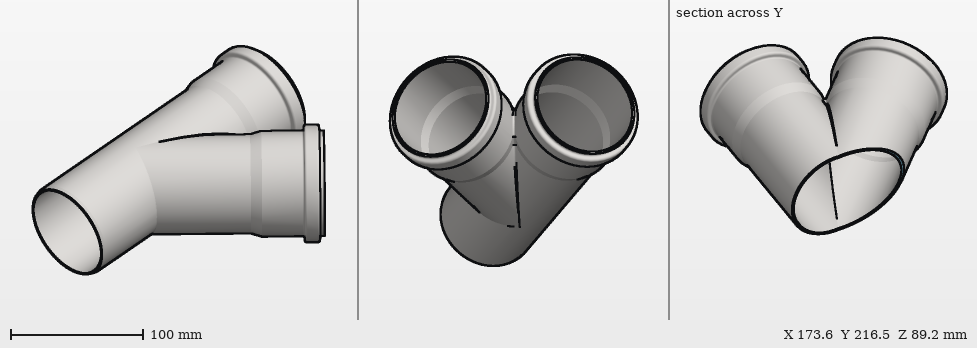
import cadquery as cq
import math

total_length = 216.5
branch_angle = 45.0
junction_y = 74.0
arm_length = total_length - junction_y

pipe_radius = 75.1 / 2
bore_radius = 71.0 / 2
socket_radius = 80.0 / 2
socket_bore_radius = 76.2 / 2
lip_radius = 79.9 / 2
collar_radius = 89.2 / 2

collar_front = 3.5
collar_back = 15.2
taper_front = 47.2
taper_back = 55.6
collar_rounding = 2.0
collar_root_radius = 1.3
junction_fillet = 1.0

spigot_chamfer_length = 3.2
spigot_chamfer_depth = 0.9


def revolve_about_y(profile):
    return profile.close().revolve(360, (0, 0, 0), (0, 1, 0))


def arm_outside(start, mouth):
    """Solid pipe with tapered socket, collar and lip, along +Y."""
    front = mouth - collar_front
    back = mouth - collar_back
    arc_offset = collar_root_radius * (1 - math.sqrt(0.5))
    body = revolve_about_y(
        cq.Workplane("XY")
        .moveTo(0, start)
        .lineTo(pipe_radius, start)
        .lineTo(pipe_radius, mouth - taper_back)
        .lineTo(socket_radius, mouth - taper_front)
        .lineTo(socket_radius, back - collar_root_radius)
        .threePointArc(
            (socket_radius + arc_offset, back - arc_offset),
            (socket_radius + collar_root_radius, back),
        )
        .lineTo(lip_radius + collar_root_radius, front)
        .threePointArc(
            (lip_radius + arc_offset, front + arc_offset),
            (lip_radius, front + collar_root_radius),
        )
        .lineTo(lip_radius, mouth)
        .lineTo(0, mouth)
    )
    collar = (
        cq.Workplane("XZ", origin=(0, front, 0))
        .circle(collar_radius)
        .extrude(collar_back - collar_front)
        .edges()
        .fillet(collar_rounding)
    )
    return body.union(collar)


def arm_bore(start, mouth):
    """Pipe bore widening into the socket bore, along +Y."""
    return revolve_about_y(
        cq.Workplane("XY")
        .moveTo(0, start)
        .lineTo(bore_radius, start)
        .lineTo(bore_radius, mouth - taper_back)
        .lineTo(socket_bore_radius, mouth - taper_front)
        .lineTo(socket_bore_radius, mouth)
        .lineTo(0, mouth)
    )


def to_branch(arm):
    """Swing an arm built from the origin onto the branch axis."""
    return arm.rotate((0, 0, 0), (0, 0, 1), -branch_angle).translate((0, junction_y, 0))


def spigot_chamfer():
    """Ring that bevels the outside of the plain pipe end."""
    return revolve_about_y(
        cq.Workplane("XY")
        .moveTo(pipe_radius - spigot_chamfer_depth, 0)
        .lineTo(pipe_radius, spigot_chamfer_length)
        .lineTo(collar_radius, spigot_chamfer_length)
        .lineTo(collar_radius, 0)
    )


run = arm_outside(0, total_length).cut(spigot_chamfer())
branch = to_branch(arm_outside(0, arm_length))
run_bore = arm_bore(0, total_length)
branch_bore = to_branch(arm_bore(0, arm_length))

junction_edges = cq.selectors.SumSelector(
    cq.selectors.TypeSelector("ELLIPSE"), cq.selectors.TypeSelector("BSPLINE")
)
outside = run.union(branch).edges(junction_edges).fillet(junction_fillet)

result = outside.cut(run_bore).cut(branch_bore)